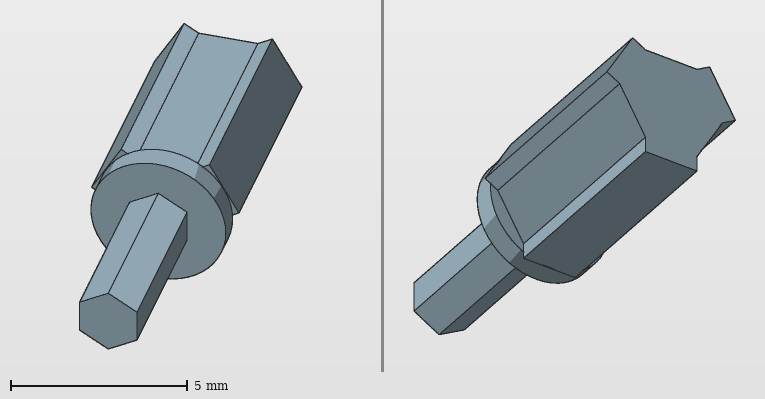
import cadquery as cq
import math

total_length = 12.0
shaft_length = 5.0
flange_thickness = 0.7
body_length = total_length - shaft_length - flange_thickness

shaft_across_flats = 1.7
flange_diameter = 4.0

core_side = 1.75
rib_reach = 2.02
rib_angles = (30, 150, 270)

flange_start = shaft_length
body_start = flange_start + flange_thickness


def section_at(y):
    """Sketch plane across the axis, with local x along X and local y along Z."""
    return cq.Workplane("XZ", origin=(0, y, 0))


def make_shaft():
    across_corners = shaft_across_flats / math.cos(math.radians(30))
    shaft = section_at(0).polygon(6, across_corners).extrude(-shaft_length)
    return shaft.rotate((0, 0, 0), (0, 1, 0), 30)


def make_flange():
    return section_at(flange_start).circle(flange_diameter / 2).extrude(-flange_thickness)


def make_body():
    body = section_at(body_start).polygon(6, 2 * core_side).extrude(-body_length)
    for angle in rib_angles:
        rib = (
            section_at(body_start)
            .transformed(rotate=(0, 0, angle))
            .center(rib_reach / 2, 0)
            .rect(rib_reach, core_side)
            .extrude(-body_length)
        )
        body = body.union(rib)
    return body


result = make_shaft().union(make_flange()).union(make_body()).clean()